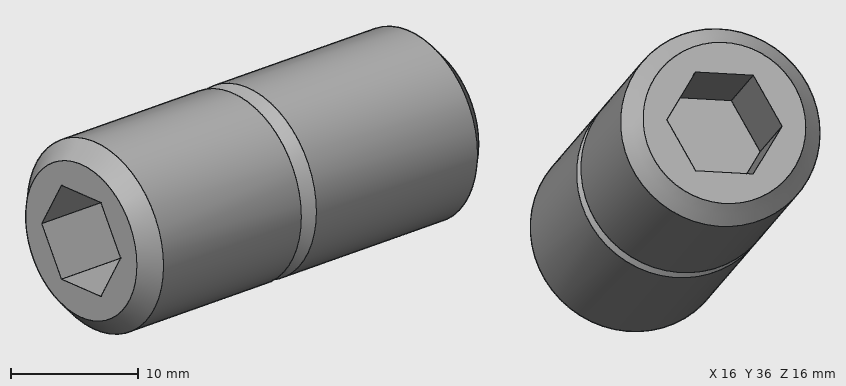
import cadquery as cq
import math

total_length = 36.0
diameter = 16.0
screw_length = 16.0
joint_gap = 0.1
chamfer = 1.48
socket_flats = 8.0
socket_depth = 8.0

pin_length = total_length - screw_length - joint_gap
radius = diameter / 2
socket_corners = socket_flats / math.cos(math.pi / 6)
front_y = -total_length / 2
pin_start_y = front_y + screw_length + joint_gap


def cylinder_along_y(start_y, length):
    """Plain cylinder on the Y axis, running from start_y towards +Y."""
    plane = cq.Plane(origin=(0, start_y, 0), xDir=(1, 0, 0), normal=(0, 1, 0))
    return cq.Workplane(plane).circle(radius).extrude(length)


def make_socket_screw():
    """Front body: chamfered front end with a blind hexagon socket, plain rear end."""
    body = cylinder_along_y(front_y, screw_length).faces("<Y").chamfer(chamfer)
    socket_plane = cq.Plane(origin=(0, front_y, 0), xDir=(1, 0, 0), normal=(0, 1, 0))
    socket = cq.Workplane(socket_plane).polygon(6, socket_corners).extrude(socket_depth)
    return body.cut(socket)


def make_pin():
    """Rear body: solid cylinder, chamfered at both ends, just behind the screw."""
    return cylinder_along_y(pin_start_y, pin_length).faces("<Y or >Y").chamfer(chamfer)


socket_screw = make_socket_screw()
pin = make_pin()

result = cq.Compound.makeCompound([socket_screw.val(), pin.val()])